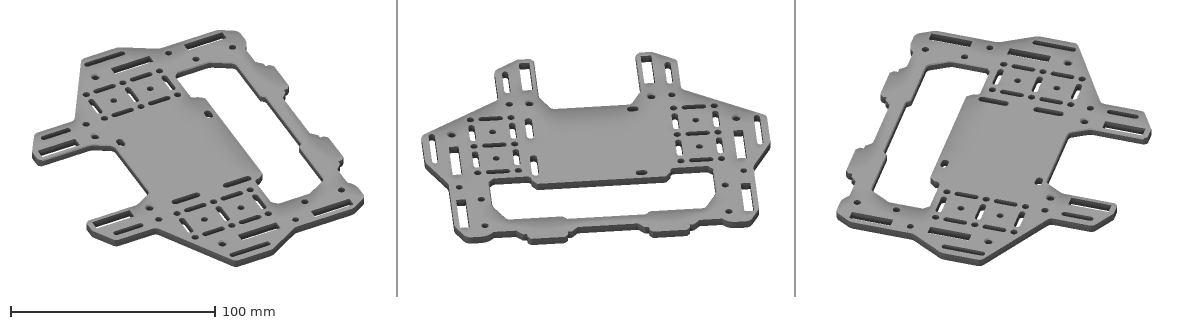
import cadquery as cq
import math

LENGTH = 170.0
THICKNESS = 4.0
STEP = LENGTH / 17
HALF_LENGTH = LENGTH / 2

REAR_Y = 71.9
FRONT_Y = -63.0
BEAM_Y = 65.1
SHOULDER_Y = 68.2
SHOULDER_RISE = SHOULDER_Y - BEAM_Y
TAB_CHAMFER = 1.7
SHELF_HALF_WIDTH = 12.0
LUG_INNER_X = 59.3
SIDE_X = 7.5 * STEP
SIDE_FRONT_Y = 27.2
SIDE_REAR_Y = 59.2
WING_REAR_Y = 9.9
WING_FRONT_Y = -10.4
FOOT_OUTER_X = 4.5 * STEP
FOOT_INNER_X = 2.5 * STEP
FOOT_ROOT_Y = -34.0
FOOT_HEEL_Y = -56.0
FOOT_TOE_X = 33.2
NOTCH_Y = -2.5 * STEP
NOTCH_CORNER_X = 19.5
WIDE_RADIUS = 5.1
CORNER_RADIUS = 3.0
LUG_INNER_RADIUS = 8.5
LUG_OUTER_RADIUS = 4.0
TOE_CUT = 1.9
DIAGONAL_SLOPE = math.tan(math.radians(60))

WINDOW_SIDE_X = 5.5 * STEP
WINDOW_FRONT_Y = 2.5 * STEP
WINDOW_REAR_Y = 56.0
WINDOW_CUT = 2.2
WINDOW_CORNER_X = 48.8
WINDOW_CORNER_Y = 45.2
RELIEF_HALF_WIDTH = 19.4
RELIEF_DEPTH = 2.0
PLATE_HALF_WIDTH = 34.2
PLATE_REAR_Y = 31.0
PLATE_CHAMFER_X = 2.5
PLATE_CHAMFER_Y = 3.0
PLATE_ROOT_RADIUS = 2.0

EDGE_CHAMFER = 0.5

GRID_HOLE = 3.5
SCREW_HOLE = 3.4
COUNTERSINK = 4.8
SLOT_WIDTH = 3.0
GRID_SLOT = 12.0
FOOT_SLOT = 16.2
FOOT_SLOT_Y = -46.5
WING_SLOT = 22.1
STRAP_WIDTH = 4.8
STRAP_LENGTH = 21.0
FOOT_STRAP_WIDTH = 5.3
FOOT_STRAP_LENGTH = 20.5
BOARD_SLOT_WIDTH = 3.5
BOARD_SHORT_SLOT = 5.8
BOARD_LONG_SLOT = 15.3
BOARD_SHORT_SLOT_ROWS = (27.0, -21.0)
BOARD_LONG_SLOT_X = 31.8
BOARD_LONG_SLOT_ROWS = (17.0, -11.0)


def mirrored(half):
    """Close a half contour, listed from the centre line round to it, with its mirror image."""
    return half + [(-x, y, r) for x, y, r in reversed(half)]


def rounded_prism(corners):
    """Extrude a polygon of (x, y, radius) corners, rounding each corner that has a radius."""
    path = []
    for i, (x, y, radius) in enumerate(corners):
        before = corners[i - 1]
        after = corners[(i + 1) % len(corners)]
        if radius == 0:
            path.append(((x, y),))
            continue
        angle_in = math.atan2(before[1] - y, before[0] - x)
        angle_out = math.atan2(after[1] - y, after[0] - x)
        half_angle = abs(math.remainder(angle_out - angle_in, 2 * math.pi)) / 2
        bisector = angle_in + math.remainder(angle_out - angle_in, 2 * math.pi) / 2
        tangent = radius / math.tan(half_angle)
        crown = radius / math.sin(half_angle) - radius
        polar = ((tangent, angle_in), (crown, bisector), (tangent, angle_out))
        path.append(tuple((x + d * math.cos(a), y + d * math.sin(a)) for d, a in polar))
    sketch = cq.Workplane("XY").moveTo(*path[0][-1])
    for points in path[1:] + path[:1]:
        sketch = sketch.lineTo(*points[0])
        if len(points) == 3:
            sketch = sketch.threePointArc(points[1], points[2])
    return sketch.close().extrude(THICKNESS)


def blank():
    tab_x = 3 * STEP
    tab_inner_x = tab_x - STEP
    tab_outer_x = tab_x + STEP
    shelf_inner_x = tab_x - SHELF_HALF_WIDTH
    shelf_outer_x = tab_x + SHELF_HALF_WIDTH
    lug_outer_x = SIDE_X - (SHOULDER_Y - SIDE_REAR_Y) / DIAGONAL_SLOPE
    notch_root_y = NOTCH_Y - (FOOT_INNER_X - NOTCH_CORNER_X) * DIAGONAL_SLOPE
    half = [
        (shelf_inner_x - SHOULDER_RISE, BEAM_Y, 0),
        (shelf_inner_x, SHOULDER_Y, 0),
        (tab_inner_x, SHOULDER_Y, 0),
        (tab_inner_x, REAR_Y - TAB_CHAMFER, 0),
        (tab_inner_x + TAB_CHAMFER, REAR_Y, 0),
        (tab_outer_x - TAB_CHAMFER, REAR_Y, 0),
        (tab_outer_x, REAR_Y - TAB_CHAMFER, 0),
        (tab_outer_x, SHOULDER_Y, 0),
        (shelf_outer_x, SHOULDER_Y, 0),
        (shelf_outer_x + SHOULDER_RISE, BEAM_Y, 0),
        (LUG_INNER_X - SHOULDER_RISE, BEAM_Y, 0),
        (LUG_INNER_X, SHOULDER_Y, LUG_INNER_RADIUS),
        (lug_outer_x, SHOULDER_Y, LUG_OUTER_RADIUS),
        (SIDE_X, SIDE_REAR_Y, WIDE_RADIUS),
        (SIDE_X, SIDE_FRONT_Y, WIDE_RADIUS),
        (HALF_LENGTH, WING_REAR_Y, WIDE_RADIUS),
        (HALF_LENGTH, WING_FRONT_Y, CORNER_RADIUS),
        (FOOT_OUTER_X, FOOT_ROOT_Y, CORNER_RADIUS),
        (FOOT_OUTER_X, FOOT_HEEL_Y, CORNER_RADIUS),
        (FOOT_TOE_X, FRONT_Y, 0),
        (FOOT_INNER_X + TOE_CUT, FRONT_Y, 0),
        (FOOT_INNER_X, FRONT_Y + TOE_CUT, 0),
        (FOOT_INNER_X, notch_root_y, WIDE_RADIUS),
        (NOTCH_CORNER_X, NOTCH_Y, CORNER_RADIUS),
    ]
    return rounded_prism(mirrored(half))


def window():
    relief_y = WINDOW_REAR_Y + RELIEF_DEPTH
    half = [
        (RELIEF_HALF_WIDTH, relief_y, 0),
        (RELIEF_HALF_WIDTH + RELIEF_DEPTH, WINDOW_REAR_Y, 0),
        (WINDOW_CORNER_X, WINDOW_REAR_Y, CORNER_RADIUS),
        (WINDOW_SIDE_X, WINDOW_CORNER_Y, WIDE_RADIUS),
        (WINDOW_SIDE_X, WINDOW_FRONT_Y + WINDOW_CUT, 0),
        (WINDOW_SIDE_X - WINDOW_CUT, WINDOW_FRONT_Y, 0),
        (PLATE_HALF_WIDTH, WINDOW_FRONT_Y, PLATE_ROOT_RADIUS),
        (PLATE_HALF_WIDTH, PLATE_REAR_Y - PLATE_CHAMFER_Y, 0),
        (PLATE_HALF_WIDTH - PLATE_CHAMFER_X, PLATE_REAR_Y, 0),
    ]
    return rounded_prism(mirrored(half))


def bevel_inner_edges(body):
    """Bevel, on both faces, the rear and side edges of the window and the edges of the front notch."""
    margin = 0.2
    window_rear = WINDOW_REAR_Y + RELIEF_DEPTH + margin
    for half_width, front, rear in (
        (WINDOW_SIDE_X + margin, PLATE_REAR_Y + margin, window_rear),
        (FOOT_INNER_X + margin, FRONT_Y + TOE_CUT, NOTCH_Y + margin),
    ):
        region = cq.selectors.BoxSelector(
            (-half_width, front, -margin), (half_width, rear, THICKNESS + margin)
        )
        body = body.faces("|Z").edges(region).chamfer(EDGE_CHAMFER)
    return body


def both_sides(points):
    return [(side * x, y) for x, y in points for side in (-1, 1)]


def drill(body, diameter, points):
    cutter = cq.Workplane("XY").pushPoints(points).circle(diameter / 2).extrude(THICKNESS)
    return body.cut(cutter)


def countersink(body, points):
    top = cq.Workplane("XY", origin=(0, 0, THICKNESS)).pushPoints(points)
    depth = (COUNTERSINK - SCREW_HOLE) / 2
    return body.cut(top.circle(COUNTERSINK / 2).extrude(-depth, taper=45))


def cut_slots(body, length, width, points, angle=90):
    cutter = cq.Workplane("XY").pushPoints(points).slot2D(length, width, angle).extrude(THICKNESS)
    return body.cut(cutter)


def cut_straps(body, width, length, points):
    cutter = cq.Workplane("XY").pushPoints(points).rect(width, length).extrude(THICKNESS)
    return body.cut(cutter)


def grid(columns, rows):
    return both_sides([(column * STEP, row * STEP) for column in columns for row in rows])


result = bevel_inner_edges(blank().cut(window()))

grid_holes = grid((4, 6), (-2, 0, 2)) + grid((6,), (4, 6)) + grid((4,), (-3,))
result = drill(result, GRID_HOLE, grid_holes)
result = cut_slots(result, GRID_SLOT, SLOT_WIDTH, grid((4, 6), (-1, 1)))
result = cut_slots(result, GRID_SLOT, SLOT_WIDTH, grid((5,), (-2, 0, 2)), angle=0)

countersunk_holes = grid((7,), (-1,)) + grid((3,), (-3,))
result = drill(result, SCREW_HOLE, grid((5,), (-1, 1)) + grid((7,), (3,)) + countersunk_holes)
result = countersink(result, countersunk_holes)

result = cut_slots(result, WING_SLOT, SLOT_WIDTH, grid((8,), (0,)))
result = cut_slots(result, FOOT_SLOT, SLOT_WIDTH, both_sides([(4 * STEP, FOOT_SLOT_Y)]))
result = cut_straps(result, STRAP_WIDTH, STRAP_LENGTH, grid((7,), (1, 5)))
result = cut_straps(result, FOOT_STRAP_WIDTH, FOOT_STRAP_LENGTH, grid((3,), (-5,)))

short_slots = [(-2 * STEP, y) for y in BOARD_SHORT_SLOT_ROWS]
long_slots = [(BOARD_LONG_SLOT_X, y) for y in BOARD_LONG_SLOT_ROWS]
result = cut_slots(result, BOARD_SHORT_SLOT, BOARD_SLOT_WIDTH, short_slots, angle=0)
result = cut_slots(result, BOARD_LONG_SLOT, BOARD_SLOT_WIDTH, long_slots)